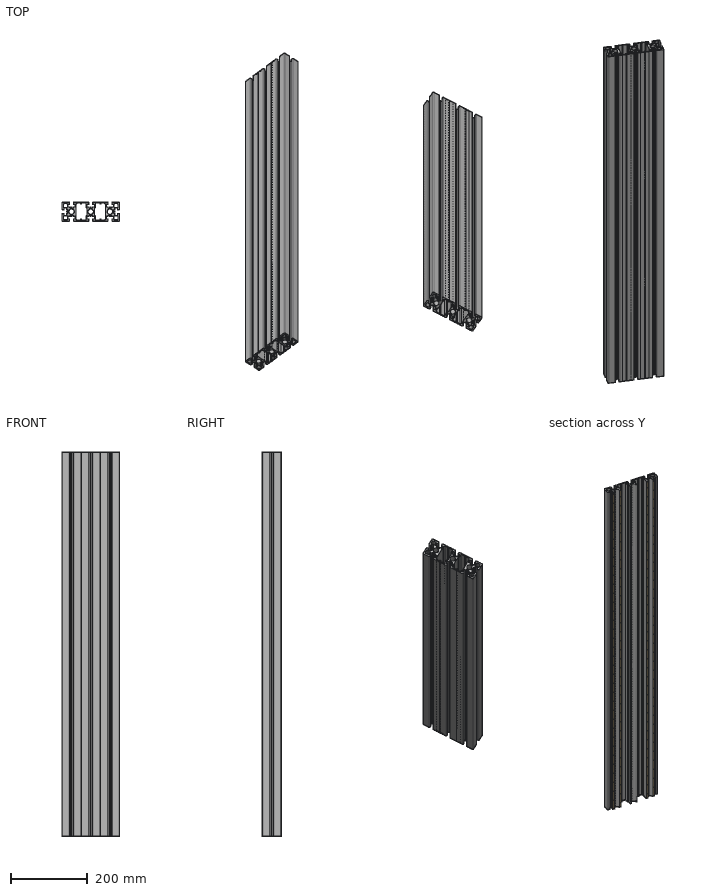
import cadquery as cq

LENGTH = 1000.0
WIDTH = 150.0
DEPTH = 50.0
MODULE = 50.0
CORNER_RADIUS = 2.0

SLOT_OPENING = 10.0
SLOT_MOUTH_RADIUS = 1.5
SLOT_LIP = 6.0
SLOT_CAVITY = 18.8
SLOT_FLOOR = 12.5
FLOOR_GROOVE_WIDTH = 9.0
FLOOR_GROOVE_DEPTH = 2.5
FLOOR_RIDGE_WIDTH = 2.2

BORE_DIAMETER = 13.8

CHAMBER_INNER_X = 10.0
CHAMBER_OUTER_X = 38.0
SKIN = 3.0
CHAMBER_STEP_X = 12.5
CHAMBER_STEP_Y = 9.0
CHAMBER_CHAMFER = 2.5
RIB_WIDTH = 3.0
RIB_HEIGHT = 2.5

MARK_WIDTH = 0.6
MARK_DEPTH = 0.6

HOLLOW_SIZE = 10.0
HOLLOW_RADIUS = 1.75
HOLLOW_INSET = 9.2

MODULE_CENTRES = (-MODULE, 0.0, MODULE)
SIDES = (-1, 1)


def prism(points):
    """Full-length bar with the given polygon as its section."""
    return cq.Workplane("XY").polyline(points).close().extrude(LENGTH)


def slot_cutter():
    """T-slot opening towards +Y, with the outer face of the profile at Y = 0."""
    opening = SLOT_OPENING / 2
    cavity = SLOT_CAVITY / 2
    groove = FLOOR_GROOVE_WIDTH / 2
    ridge = FLOOR_RIDGE_WIDTH / 2
    groove_floor = SLOT_FLOOR + FLOOR_GROOVE_DEPTH
    mouth = opening + SLOT_MOUTH_RADIUS
    right = [
        (opening, -SLOT_MOUTH_RADIUS),
        (opening, -SLOT_LIP),
        (cavity, -SLOT_LIP),
        (cavity, -SLOT_FLOOR),
        (groove, -SLOT_FLOOR),
        (groove, -groove_floor),
        (ridge, -groove_floor),
        (ridge, -SLOT_FLOOR),
    ]
    left = [(-x, y) for x, y in reversed(right)]
    return (
        cq.Workplane("XY")
        .moveTo(-mouth, 0)
        .lineTo(mouth, 0)
        .radiusArc((opening, -SLOT_MOUTH_RADIUS), -SLOT_MOUTH_RADIUS)
        .polyline(right[1:] + left, includeCurrent=True)
        .radiusArc((-mouth, 0), -SLOT_MOUTH_RADIUS)
        .close()
        .extrude(LENGTH)
    )


def chamber():
    """Chamber on the +X side, its outer skin stiffened by a rib behind the marking groove."""
    top = DEPTH / 2 - SKIN
    middle = MODULE / 2
    rib = RIB_WIDTH / 2
    upper = [
        (CHAMBER_INNER_X, CHAMBER_STEP_Y),
        (CHAMBER_STEP_X, CHAMBER_STEP_Y + CHAMBER_STEP_X - CHAMBER_INNER_X),
        (CHAMBER_STEP_X, top),
        (middle - rib, top),
        (middle - rib, top - RIB_HEIGHT),
        (middle + rib, top - RIB_HEIGHT),
        (middle + rib, top),
        (CHAMBER_OUTER_X - CHAMBER_CHAMFER, top),
        (CHAMBER_OUTER_X, top - CHAMBER_CHAMFER),
    ]
    lower = [(x, -y) for x, y in reversed(upper)]
    return prism(upper + lower)


def corner_hollow(side_x, side_y):
    """Square hollow with rounded corners, equally far from both outer faces of one corner."""
    centre = (side_x * (WIDTH / 2 - HOLLOW_INSET), side_y * (DEPTH / 2 - HOLLOW_INSET))
    hollow = cq.Workplane("XY").center(*centre).rect(HOLLOW_SIZE, HOLLOW_SIZE).extrude(LENGTH)
    return hollow.edges("|Z").fillet(HOLLOW_RADIUS)


def marking_groove(side_x, side_y):
    """V groove halfway between two slots."""
    x = side_x * MODULE / 2
    face = side_y * DEPTH / 2
    half = MARK_WIDTH / 2
    return prism([(x - half, face), (x + half, face), (x, face - side_y * MARK_DEPTH)])


profile = cq.Workplane("XY").rect(WIDTH, DEPTH).extrude(LENGTH).edges("|Z").fillet(CORNER_RADIUS)

slot = slot_cutter()
opposite_slot = slot.rotate((0, 0, 0), (0, 0, 1), 180)
for x in MODULE_CENTRES:
    profile = profile.cut(slot.translate((x, DEPTH / 2, 0)))
    profile = profile.cut(opposite_slot.translate((x, -DEPTH / 2, 0)))
for side in SIDES:
    end_slot = slot.rotate((0, 0, 0), (0, 0, 1), -90 * side)
    profile = profile.cut(end_slot.translate((side * WIDTH / 2, 0, 0)))

bores = [(x, 0) for x in MODULE_CENTRES]
profile = profile.cut(cq.Workplane("XY").pushPoints(bores).circle(BORE_DIAMETER / 2).extrude(LENGTH))

right_chamber = chamber()
profile = profile.cut(right_chamber).cut(right_chamber.mirror("YZ"))

for side_x in SIDES:
    for side_y in SIDES:
        profile = profile.cut(corner_hollow(side_x, side_y))
        profile = profile.cut(marking_groove(side_x, side_y))

result = profile